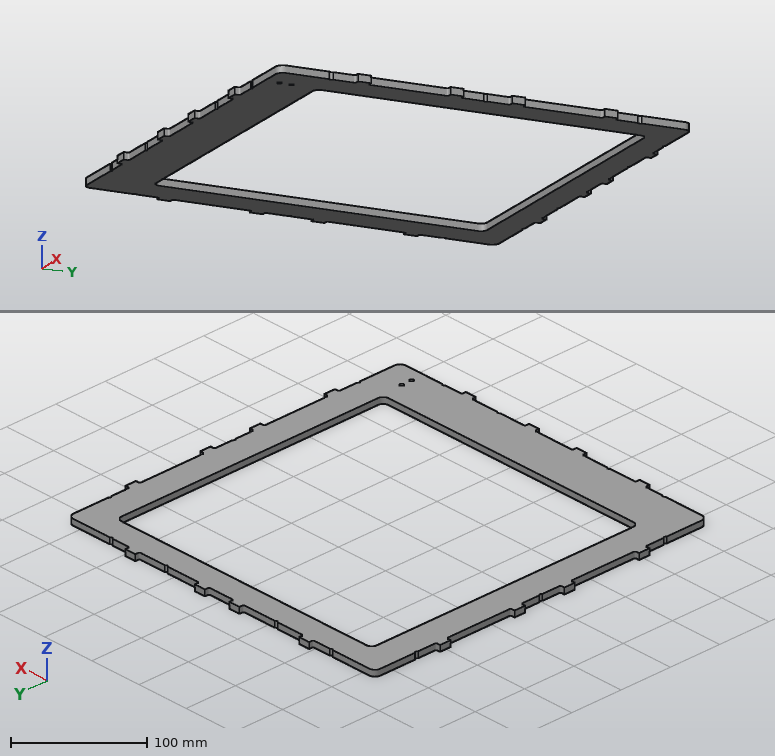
import cadquery as cq
import math

overall_x = 334.2
overall_y = 345.5
thickness = 6.0

tab_projection = 4.0
tab_width = 10.7
tab_root_radius = 1.5
outer_tab_x = 92.3
inner_front_tab_x = 25.2
inner_back_tab_x = 18.3
outer_side_tab_y = 101.0
inner_side_tab_y = 25.2

plate_x = overall_x - 2 * tab_projection
plate_y = overall_y - 2 * tab_projection
plate_corner_radius = 6.0

window_size = 270.5
window_corner_radius = 5.2
back_rail_width = 23.0
window_center_y = plate_y / 2 - back_rail_width - window_size / 2

notch_width = 3.0
notch_depth = 0.85
notch_radius = (notch_width ** 2 / 4 + notch_depth ** 2) / (2 * notch_depth)
inner_notch_x = 58.5
outer_notch_x = 2 * inner_notch_x
outer_side_notch_y = 126.0

hole_diameter = 3.5
hole_x = 138.0
front_hole_y = -156.2
hole_pitch = 10.0


def rounded_block(size_x, size_y, corner_radius):
    """Block of plate thickness with rounded vertical edges."""
    block = cq.Workplane("XY").rect(size_x, size_y).extrude(thickness)
    return block.edges("|Z").fillet(corner_radius)


def tab(center_x, edge_y):
    """Tab rising in +Y from an edge, flared at its root by concave fillets."""
    half_width = tab_width / 2
    half_root = half_width + tab_root_radius
    arc_offset = tab_root_radius * (1 - math.sqrt(0.5))
    embed = tab_root_radius
    profile = (
        cq.Workplane("XY", origin=(center_x, edge_y, 0))
        .moveTo(-half_root, -embed)
        .lineTo(-half_root, 0)
        .threePointArc((-half_width - arc_offset, arc_offset), (-half_width, tab_root_radius))
        .lineTo(-half_width, tab_projection)
        .lineTo(half_width, tab_projection)
        .lineTo(half_width, tab_root_radius)
        .threePointArc((half_width + arc_offset, arc_offset), (half_root, 0))
        .lineTo(half_root, -embed)
        .close()
    )
    return profile.extrude(thickness)


def notch(center_x, edge_y):
    """Cylinder that bites a shallow arc out of an edge facing +Y."""
    axis_y = edge_y + notch_radius - notch_depth
    return cq.Workplane("XY").center(center_x, axis_y).circle(notch_radius).extrude(thickness)


def turned(body, angle):
    """Body turned about the Z axis."""
    return body.rotate((0, 0, 0), (0, 0, 1), angle)


def mirrored(*distances):
    """Each distance on both sides of the centre line."""
    return [sign * distance for distance in distances for sign in (-1, 1)]


side_tabs = mirrored(outer_side_tab_y, inner_side_tab_y)
side_notches = mirrored(outer_side_notch_y) + [0]
long_notches = mirrored(outer_notch_x, inner_notch_x)

plate_edges = (
    (0, plate_y / 2, mirrored(outer_tab_x, inner_back_tab_x), long_notches),
    (90, plate_x / 2, side_tabs, side_notches),
    (180, plate_y / 2, mirrored(outer_tab_x, inner_front_tab_x), long_notches),
    (270, plate_x / 2, side_tabs, side_notches),
)

result = rounded_block(plate_x, plate_y, plate_corner_radius)

for angle, edge_distance, tab_places, notch_places in plate_edges:
    for place in tab_places:
        result = result.union(turned(tab(place, edge_distance), angle))
    for place in notch_places:
        result = result.cut(turned(notch(place, edge_distance), angle))

window = rounded_block(window_size, window_size, window_corner_radius)
result = result.cut(window.translate((0, window_center_y, 0)))

holes = (
    cq.Workplane("XY")
    .pushPoints([(hole_x, front_hole_y), (hole_x, front_hole_y + hole_pitch)])
    .circle(hole_diameter / 2)
    .extrude(thickness)
)
result = result.cut(holes)